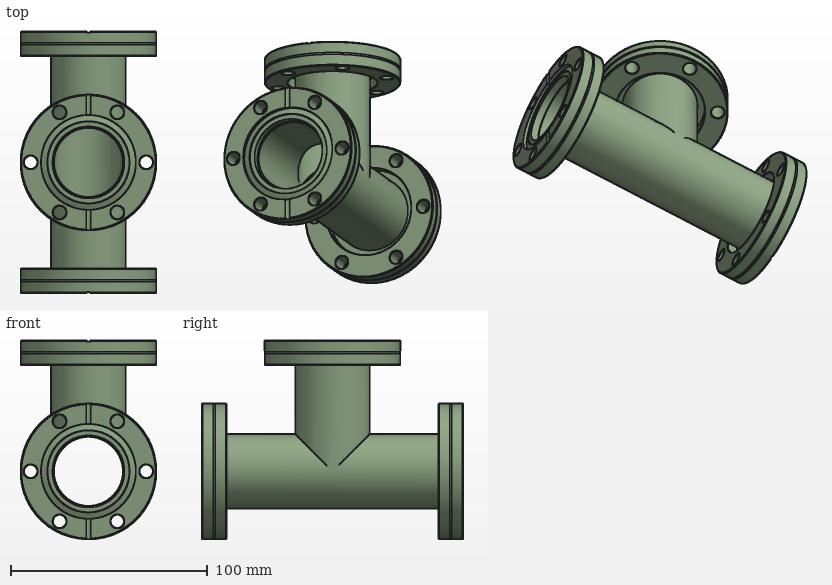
import cadquery as cq
import math

TUBE_OUTER_DIAMETER = 38.1
TUBE_BORE_DIAMETER = 35.0
FACE_DISTANCE = 66.5

FLANGE_DIAMETER = 69.1
FLANGE_THICKNESS = 12.7
RING_EDGE_CHAMFER = 0.5
RING_BORE_CHAMFER = 0.25
RING_REAR_BORE_DIAMETER = 45.5
RING_SEAT_BORE_DIAMETER = 48.3
RIM_GROOVE_WIDTH = 1.0
RIM_GROOVE_DEPTH = 0.25

BOLT_COUNT = 6
BOLT_HOLE_DIAMETER = 6.7
BOLT_HOLE_CHAMFER = 0.25
BOLT_CIRCLE_DIAMETER = 58.7

SLOT_RADIUS = 1.5
SLOT_DEPTH = 0.6

INSERT_DIAMETER = 48.1
INSERT_BORE_DIAMETER = 36.6
INSERT_SOCKET_DIAMETER = 38.2
INSERT_REAR_DEPTH = 7.2
KNIFE_EDGE_DIAMETER = 41.9
KNIFE_EDGE_DEPTH = 0.65
KNIFE_INNER_DEPTH = 1.2
KNIFE_OUTER_ANGLE = 20.0
KNIFE_INNER_ANGLE = 20.0
TUBE_END_DEPTH = 5.2


def make_tee_tube():
    """Run and branch of equal bore, joined as one tube."""
    end = FACE_DISTANCE - TUBE_END_DEPTH

    def tee_cylinders(diameter):
        run = cq.Workplane("XZ").circle(diameter / 2).extrude(end, both=True)
        branch = cq.Workplane("XY").circle(diameter / 2).extrude(end)
        return run.union(branch)

    return tee_cylinders(TUBE_OUTER_DIAMETER).cut(tee_cylinders(TUBE_BORE_DIAMETER))


def revolve_about_z(points):
    """Turn a closed outline of (radius, height) points about Z."""
    return cq.Workplane("XZ").polyline(points).close().revolve(360, (0, 0), (0, 1))


def make_ring():
    """Bolt ring with its mating face at Z = 0 and its body below."""
    outer = FLANGE_DIAMETER / 2
    seat = RING_SEAT_BORE_DIAMETER / 2
    rear_bore = RING_REAR_BORE_DIAMETER / 2
    ring = revolve_about_z([
        (seat, 0),
        (outer - RING_EDGE_CHAMFER, 0),
        (outer, -RING_EDGE_CHAMFER),
        (outer, RING_EDGE_CHAMFER - FLANGE_THICKNESS),
        (outer - RING_EDGE_CHAMFER, -FLANGE_THICKNESS),
        (rear_bore + RING_BORE_CHAMFER, -FLANGE_THICKNESS),
        (rear_bore, RING_BORE_CHAMFER - FLANGE_THICKNESS),
        (rear_bore, -INSERT_REAR_DEPTH),
        (seat, -INSERT_REAR_DEPTH),
    ])
    return ring.cut(make_rim_groove()).cut(make_bolt_holes()).cut(make_leak_slots())


def make_rim_groove():
    """Round-bottomed groove around the rim, midway through the thickness."""
    half_width = RIM_GROOVE_WIDTH / 2
    section_radius = (half_width ** 2 + RIM_GROOVE_DEPTH ** 2) / (2 * RIM_GROOVE_DEPTH)
    sweep_radius = FLANGE_DIAMETER / 2 - RIM_GROOVE_DEPTH + section_radius
    torus = cq.Solid.makeTorus(sweep_radius, section_radius)
    return cq.Workplane(torus).translate((0, 0, -FLANGE_THICKNESS / 2))


def make_bolt_holes():
    """Cutters for the bolt holes, each flared at both faces by its chamfer."""
    radius = BOLT_HOLE_DIAMETER / 2
    flared_radius = radius + BOLT_HOLE_CHAMFER
    cutter = revolve_about_z([
        (0, 0),
        (flared_radius, 0),
        (radius, -BOLT_HOLE_CHAMFER),
        (radius, BOLT_HOLE_CHAMFER - FLANGE_THICKNESS),
        (flared_radius, -FLANGE_THICKNESS),
        (0, -FLANGE_THICKNESS),
    ]).val()
    return (
        cq.Workplane("XY")
        .polarArray(BOLT_CIRCLE_DIAMETER / 2, 0, 360, BOLT_COUNT)
        .eachpoint(lambda place: cutter.moved(place), combine="a")
    )


def make_leak_slots():
    """One rod along Y, sunk into the face, cuts the slots on both sides of the bore."""
    return (
        cq.Workplane("XZ")
        .center(0, SLOT_RADIUS - SLOT_DEPTH)
        .circle(SLOT_RADIUS)
        .extrude(FLANGE_DIAMETER, both=True)
    )


def make_insert():
    """Weld insert, its knife edge set just below the mating face at Z = 0."""
    outer = INSERT_DIAMETER / 2
    knife = KNIFE_EDGE_DIAMETER / 2
    bore = INSERT_BORE_DIAMETER / 2
    socket = INSERT_SOCKET_DIAMETER / 2
    outer_drop = (outer - knife) * math.tan(math.radians(KNIFE_OUTER_ANGLE))
    inner_run = (KNIFE_INNER_DEPTH - KNIFE_EDGE_DEPTH) * math.tan(math.radians(KNIFE_INNER_ANGLE))
    return revolve_about_z([
        (bore, -KNIFE_INNER_DEPTH),
        (knife - inner_run, -KNIFE_INNER_DEPTH),
        (knife, -KNIFE_EDGE_DEPTH),
        (outer, -KNIFE_EDGE_DEPTH - outer_drop),
        (outer, -INSERT_REAR_DEPTH),
        (socket, -INSERT_REAR_DEPTH),
        (socket, -TUBE_END_DEPTH),
        (bore, -TUBE_END_DEPTH),
    ])


tee_tube = make_tee_tube()

PORT_TILTS = (0, 90, -90)
rings = []
inserts = []
for tilt in PORT_TILTS:
    for bodies, make_body in ((rings, make_ring), (inserts, make_insert)):
        body = make_body().translate((0, 0, FACE_DISTANCE))
        bodies.append(body.rotate((0, 0, 0), (1, 0, 0), tilt))

result = cq.Compound.makeCompound([
    tee_tube.val(),
    *[ring.val() for ring in rings],
    *[insert.val() for insert in inserts],
])